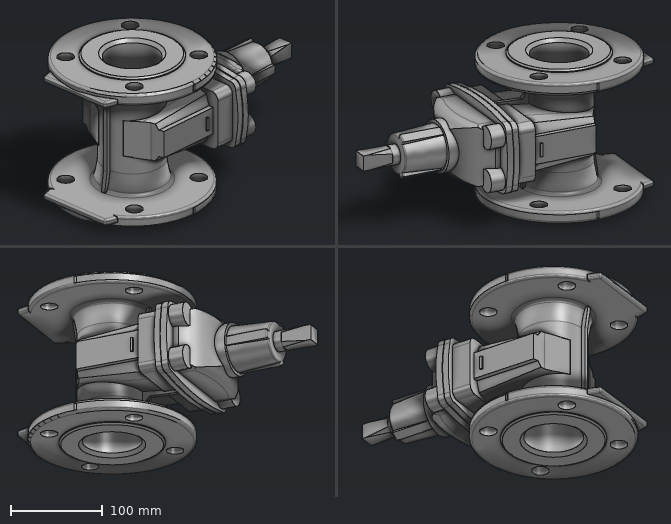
import cadquery as cq
import math


overall_width = 185.0
overall_length = 336.8
face_to_face = 170.0

face_height = face_to_face / 2
raised_face_height = 3.0
flange_outer_z = face_height - raised_face_height
flange_inner_z = 68.0
flange_thickness = flange_outer_z - flange_inner_z
flange_radius = 92.0
flange_edge_round = 3.0
raised_face_radius = 58.0
raised_face_chamfer = 2.0
bore_diameter = 65.0
bore_chamfer = 4.0
bolt_hole_diameter = 19.0
bolt_circle_diameter = 144.8
bolt_count = 4
tube_radius = 38.0
tube_half_length = 43.0
neck_radius = 42.0
neck_end_z = 64.3
flare_bulge = 0.35
neck_fillet_height = flange_inner_z - neck_end_z
neck_fillet_reach = 5.7
nib_width = 2.7

foot_y = -92.5
foot_half_width = 46.0
foot_root_half_width = 51.0
foot_root_y = -77.0
foot_thickness = 7.7
foot_round = 2.7

rib_width = 5.0
rib_radius = 42.8
rib_foot_radius = 46.5
rib_body_z = 39.0
rib_body_inner_z = 37.0
rib_corner_round = 4.0

block_start_y = 64.0
block_half_width = 67.7
block_half_height = 35.0
block_corner_round = 9.0
side_half_width = 60.5
side_half_height = 16.0
step_outer_x = 54.5
step_inner_x = 50.2
step_start_z = 29.0
step_end_z = 21.2
crown_x = 37.0
crown_start_z = 33.5
crown_end_z = 21.5
housing_end_y = -14.0
housing_bend = (45.0, -18.2)
housing_toe = (18.5, -33.7)
pad_y = 52.2
pad_length = 2.7
pad_width = 15.5
pad_height = 2.0

joint_start_y = 87.2
joint_split_y = 94.5
joint_end_y = 102.7
joint_half_width = 76.8
joint_half_height = 47.0
joint_lip = 1.0
joint_corner_x = 62.3
joint_corner_z = 31.0
joint_edge_drop = 5.7
joint_edge_inset = 3.5
joint_corner_round = 2.5
boss_radius = 13.0
boss_x = 59.0
boss_z = 25.3
boss_end_y = 120.0

dome_half_width = 60.5
dome_half_height = 35.7
dome_side_y = 109.0
dome_crown_y = 144.8
round_side_y = 131.7
dome_shoulder_round = 17.0
dome_corner_round = 17.5
collar_radius = 30.0
collar_end_y = 150.2

gland_end_y = 199.7
gland_base_radius = 26.0
gland_end_radius = 23.0
gland_edge_round = 1.5
lug_count = 3
lug_reach = 26.5
lug_width = 10.8
spindle_radius = 11.5
square_start_y = 209.0
spindle_end_y = foot_y + overall_length
square_base_width = 20.2
square_end_width = 18.0
square_end_radius = 13.0


def across(y):
    """Workplane square to the spindle at height y, drawing in X and -Z."""
    return cq.Workplane(cq.Plane(origin=(0, y, 0), xDir=(1, 0, 0), normal=(0, 1, 0)))


def both_ends(shape):
    return shape.union(shape.mirror("XY"))


def both_sides(shape):
    return shape.union(shape.mirror("YZ"))


def make_pipe():
    """Tube that flares into the two flanges with their raised faces."""
    flare_z = (tube_half_length + neck_end_z) / 2
    flare_radius = tube_radius + (neck_radius - tube_radius) * flare_bulge
    bulge = 1 - math.sqrt(0.5)
    half_pipe = (
        cq.Workplane("XZ")
        .moveTo(0, 0)
        .lineTo(tube_radius, 0)
        .lineTo(tube_radius, tube_half_length)
        .threePointArc((flare_radius, flare_z), (neck_radius, neck_end_z))
        .threePointArc(
            (neck_radius + bulge * neck_fillet_reach, flange_inner_z - bulge * neck_fillet_height),
            (neck_radius + neck_fillet_reach, flange_inner_z),
        )
        .lineTo(neck_radius + neck_fillet_reach, flange_outer_z)
        .lineTo(0, flange_outer_z)
        .close()
        .revolve(360, (0, 0, 0), (0, 1, 0))
    )
    flange = (
        cq.Workplane("XY", origin=(0, 0, flange_inner_z))
        .circle(flange_radius)
        .extrude(flange_thickness)
        .edges()
        .fillet(flange_edge_round)
    )
    raised_face = (
        cq.Workplane("XY", origin=(0, 0, flange_outer_z))
        .circle(raised_face_radius)
        .extrude(raised_face_height)
        .faces(">Z")
        .edges()
        .chamfer(raised_face_chamfer)
    )
    nibs = (
        cq.Workplane("XY", origin=(0, 0, flange_inner_z + flange_edge_round))
        .rect(overall_width, nib_width)
        .extrude(flange_thickness - 2 * flange_edge_round)
    )
    return both_ends(half_pipe.union(flange).union(raised_face).union(nibs))


def make_feet():
    """Flat standing edge on the -Y side of each flange."""
    foot = (
        cq.Workplane("XY", origin=(0, 0, flange_inner_z))
        .polyline([
            (-foot_half_width, foot_y),
            (foot_half_width, foot_y),
            (foot_root_half_width, foot_root_y),
            (-foot_root_half_width, foot_root_y),
        ])
        .close()
        .extrude(foot_thickness)
        .edges("not >Y")
        .fillet(foot_round)
    )
    return both_ends(foot)


def make_rib():
    """Thin rib in the YZ plane along the tube, the necks and the gate housing."""
    rib = (
        cq.Workplane("YZ")
        .moveTo(-rib_radius, 0)
        .lineTo(-rib_radius, tube_half_length)
        .lineTo(-rib_foot_radius, flange_inner_z)
        .lineTo(rib_foot_radius, flange_inner_z)
        .lineTo(rib_radius, rib_body_inner_z + rib_corner_round)
        .lineTo(rib_radius + rib_corner_round, rib_body_inner_z)
        .lineTo(joint_start_y, rib_body_z)
        .lineTo(joint_start_y, 0)
        .close()
        .extrude(rib_width / 2, both=True)
    )
    return both_ends(rib)


def housing_section(y, step_top_z, crown_z):
    """Stepped cross-section of the gate housing at height y."""
    flank = [
        (side_half_width, side_half_height),
        (step_outer_x, side_half_height),
        (step_inner_x, step_top_z),
        (crown_x, crown_z),
    ]
    upper = flank + [(-x, z) for x, z in reversed(flank)]
    points = upper + [(-x, -z) for x, z in upper]
    return cq.Wire.makePolygon([cq.Vector(x, y, z) for x, z in points], close=True)


def make_housing():
    """Tapering gate housing around the tube, with a square block at the joint."""
    taper = cq.Workplane(cq.Solid.makeLoft(
        [
            housing_section(block_start_y, step_start_z, crown_start_z),
            housing_section(housing_toe[1], step_end_z, crown_end_z),
        ],
        True,
    ))
    plan = (
        cq.Workplane("XY")
        .polyline([
            (0, block_start_y),
            (side_half_width, block_start_y),
            (side_half_width, housing_end_y),
            housing_bend,
            housing_toe,
            (0, housing_toe[1]),
        ])
        .close()
        .extrude(joint_half_height, both=True)
    )
    block = (
        across(block_start_y)
        .rect(2 * block_half_width, 2 * block_half_height)
        .extrude(joint_start_y - block_start_y)
        .edges("|Y")
        .fillet(block_corner_round)
    )
    pads = (
        across(pad_y)
        .rect(2 * (side_half_width + pad_height), pad_width)
        .extrude(pad_length)
    )
    return taper.intersect(both_sides(plan)).union(block).union(pads)


def joint_plate(start_y, end_y, inset):
    """Barrel-sided plate with rounded corners."""
    half_x = joint_half_width - inset
    half_z = joint_half_height - inset
    side_x = half_x - joint_edge_inset
    edge_z = half_z - joint_edge_drop
    corner = (
        (joint_corner_x + side_x) / 2 + joint_corner_round,
        (joint_corner_z + edge_z) / 2 + joint_corner_round,
    )
    return (
        across(start_y)
        .moveTo(-joint_corner_x, edge_z)
        .threePointArc((0, half_z), (joint_corner_x, edge_z))
        .threePointArc(corner, (side_x, joint_corner_z))
        .threePointArc((half_x, 0), (side_x, -joint_corner_z))
        .threePointArc((corner[0], -corner[1]), (joint_corner_x, -edge_z))
        .threePointArc((0, -half_z), (-joint_corner_x, -edge_z))
        .threePointArc((-corner[0], -corner[1]), (-side_x, -joint_corner_z))
        .threePointArc((-half_x, 0), (-side_x, joint_corner_z))
        .threePointArc((-corner[0], corner[1]), (-joint_corner_x, edge_z))
        .close()
        .extrude(end_y - start_y)
    )


def make_joint():
    """Body plate and slightly larger bonnet plate, with four bolt bosses."""
    body_plate = joint_plate(joint_start_y, joint_split_y, joint_lip)
    bonnet_plate = joint_plate(joint_split_y, joint_end_y, 0)
    bosses = (
        across(joint_split_y)
        .rect(2 * boss_x, 2 * boss_z, forConstruction=True)
        .vertices()
        .circle(boss_radius)
        .extrude(boss_end_y - joint_split_y)
    )
    return body_plate.union(bonnet_plate).union(bosses)


def arched_wall(side_y):
    """Wall across the bonnet under a single arch from side to side."""
    return (
        cq.Workplane("XY")
        .moveTo(-dome_half_width, joint_split_y)
        .lineTo(dome_half_width, joint_split_y)
        .lineTo(dome_half_width, side_y)
        .threePointArc((0, dome_crown_y), (-dome_half_width, side_y))
        .close()
        .extrude(dome_half_height, both=True)
    )


def make_dome():
    """Arched bonnet dome with rounded shoulders, topped by a round collar."""
    round_wall = (
        arched_wall(round_side_y)
        .faces("%CYLINDER")
        .edges("not |Z")
        .fillet(dome_shoulder_round)
    )
    steep_wall = arched_wall(dome_side_y)
    plan = (
        across(joint_split_y)
        .rect(2 * dome_half_width, 2 * dome_half_height)
        .extrude(dome_crown_y - joint_split_y)
        .edges("|Y")
        .fillet(dome_corner_round)
    )
    collar = across(dome_side_y).circle(collar_radius).extrude(collar_end_y - dome_side_y)
    return round_wall.intersect(steep_wall).intersect(plan).union(collar)


def make_gland():
    """Tapered gland with three straight lugs."""
    length = gland_end_y - collar_end_y
    gland = (
        across(collar_end_y)
        .circle(gland_base_radius)
        .workplane(offset=length)
        .circle(gland_end_radius)
        .loft()
    )
    lug = across(collar_end_y).center(lug_reach / 2, 0).rect(lug_reach, lug_width).extrude(length)
    for i in range(lug_count):
        gland = gland.union(lug.rotate((0, 0, 0), (0, 1, 0), i * 360 / lug_count))
    return gland.faces(">Y").edges().fillet(gland_edge_round)


def make_spindle():
    """Round spindle ending in a slightly tapered square."""
    shank = across(collar_end_y).circle(spindle_radius).extrude(square_start_y - collar_end_y)
    square_length = spindle_end_y - square_start_y
    square = (
        across(square_start_y)
        .rect(square_base_width, square_base_width)
        .workplane(offset=square_length)
        .rect(square_end_width, square_end_width)
        .loft()
    )
    cone = (
        across(square_start_y)
        .circle(spindle_radius)
        .workplane(offset=square_length)
        .circle(square_end_radius)
        .loft()
    )
    return shank.union(square.intersect(cone))


def cut_bore(body):
    """Through bore with a chamfered mouth at each end."""
    bore = cq.Workplane("XY").circle(bore_diameter / 2).extrude(face_height, both=True)
    mouth = (
        cq.Workplane("XY", origin=(0, 0, face_height - bore_chamfer))
        .circle(bore_diameter / 2)
        .workplane(offset=bore_chamfer)
        .circle(bore_diameter / 2 + bore_chamfer)
        .loft()
    )
    return body.cut(bore).cut(both_ends(mouth))


def cut_bolt_holes(body):
    """Bolt holes through the flanges, straddling the main axes."""
    holes = (
        cq.Workplane("XY", origin=(0, 0, flange_inner_z))
        .polarArray(bolt_circle_diameter / 2, 180 / bolt_count, 360, bolt_count)
        .circle(bolt_hole_diameter / 2)
        .extrude(flange_thickness)
    )
    return body.cut(both_ends(holes))


body = make_pipe()
for make_part in (make_feet, make_rib, make_housing, make_joint, make_dome, make_gland, make_spindle):
    body = body.union(make_part())
result = cut_bolt_holes(cut_bore(body))